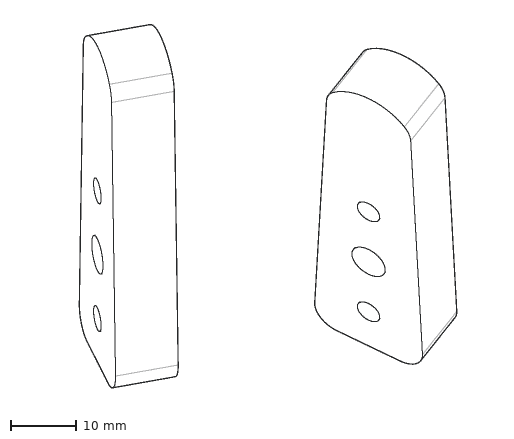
import cadquery as cq

height = 59.95
thickness = 10.0

bottom_width = 19.75
side_height = 55.8
side_top_width = 15.05
crown_radius = 9.0
corner_radius = 4.0

pivot_height = 20.4
pivot_diameter = 6.0
screw_diameter = 4.0
screw_offset = 12.1

crown_center = height - crown_radius
bottom_half = bottom_width / 2
taper = (bottom_half - side_top_width / 2) / side_height
half_at_center = bottom_half - taper * crown_center
slope_term = 1 + taper**2
linear_term = taper * half_at_center
root = (slope_term * crown_radius**2 - half_at_center**2) ** 0.5
rise = (linear_term + root) / slope_term
shoulder_height = crown_center + rise
shoulder_half = half_at_center - taper * rise


def make_body():
    """Tapered bar with an arched top and four rounded corners."""
    return (
        cq.Workplane("XZ")
        .moveTo(-bottom_half, 0)
        .lineTo(bottom_half, 0)
        .lineTo(shoulder_half, shoulder_height)
        .threePointArc((0, height), (-shoulder_half, shoulder_height))
        .close()
        .extrude(thickness / 2, both=True)
        .edges("|Y")
        .fillet(corner_radius)
    )


def make_hole(diameter, center_height):
    """Cylinder that cuts through the full thickness."""
    return (
        cq.Workplane("XZ")
        .center(0, center_height)
        .circle(diameter / 2)
        .extrude(thickness, both=True)
    )


result = make_body().cut(make_hole(pivot_diameter, pivot_height))
for offset in (-screw_offset, screw_offset):
    result = result.cut(make_hole(screw_diameter, pivot_height + offset))